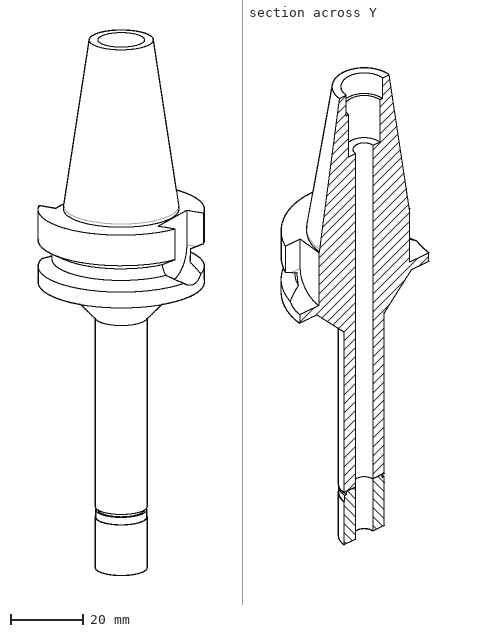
import cadquery as cq

TOTAL_LENGTH = 153.4
GAUGE_Z = 105.1
FLANGE_TOP = 104.2
FLANGE_BOTTOM = 83.0
UPPER_RIM_HEIGHT = 8.9
LOWER_RIM_HEIGHT = 4.6
GROOVE_BEVEL_HEIGHT = 2.1
NECK_BOTTOM = 72.7
SHANK_END = 17.8
NOSE_TOP = 16.9
SHOULDER_BOTTOM = 14.7

FLANGE_RADIUS = 23.0
GROOVE_RADIUS = 19.2
GAUGE_RADIUS = 16.0
TAPER_TOP_RADIUS = 8.9
NECK_RADIUS = 16.9
SHANK_RADIUS = 7.2
SHOULDER_RADIUS = 7.0
SPIGOT_RADIUS = 6.5

COUNTERBORE_RADIUS = 6.5
COUNTERBORE_DEPTH = 7.0
THREAD_RADIUS = 5.5
THREAD_DEPTH = 21.5
COOLANT_RADIUS = 3.0

SLOT_WIDTH = 16.1
SLOT_DEPTH = 18.1
SLOT_FLOOR_X = 16.3


def revolve_profile(points):
    """Revolve a closed (radius, height) outline around the Z axis."""
    return cq.Workplane("XZ").polyline(points).close().revolve(360, (0, 0), (0, 1))


def hole(radius, bottom, top):
    return cq.Workplane("XY").workplane(offset=bottom).circle(radius).extrude(top - bottom)


def holder_blank():
    """Taper, grooved flange, conical neck and long shank."""
    upper_rim_bottom = FLANGE_TOP - UPPER_RIM_HEIGHT
    lower_rim_top = FLANGE_BOTTOM + LOWER_RIM_HEIGHT
    return revolve_profile([
        (0, SHANK_END),
        (SHANK_RADIUS, SHANK_END),
        (SHANK_RADIUS, NECK_BOTTOM),
        (NECK_RADIUS, FLANGE_BOTTOM),
        (FLANGE_RADIUS, FLANGE_BOTTOM),
        (FLANGE_RADIUS, lower_rim_top),
        (GROOVE_RADIUS, lower_rim_top + GROOVE_BEVEL_HEIGHT),
        (GROOVE_RADIUS, upper_rim_bottom - GROOVE_BEVEL_HEIGHT),
        (FLANGE_RADIUS, upper_rim_bottom),
        (FLANGE_RADIUS, FLANGE_TOP),
        (GAUGE_RADIUS, FLANGE_TOP),
        (GAUGE_RADIUS, GAUGE_Z),
        (TAPER_TOP_RADIUS, TOTAL_LENGTH),
        (0, TOTAL_LENGTH),
    ])


def drive_slot(side):
    """Round-bottomed slot cutter reaching outward from the slot floor; side is +1 or -1."""
    radius = SLOT_WIDTH / 2
    arc_bottom = FLANGE_TOP - SLOT_DEPTH
    arc_center = arc_bottom + radius
    return (
        cq.Workplane("YZ")
        .workplane(offset=side * SLOT_FLOOR_X)
        .moveTo(-radius, FLANGE_TOP)
        .lineTo(-radius, arc_center)
        .threePointArc((0, arc_bottom), (radius, arc_center))
        .lineTo(radius, FLANGE_TOP)
        .close()
        .extrude(side * FLANGE_RADIUS)
    )


def make_holder():
    holder = holder_blank()
    for side in (-1, 1):
        holder = holder.cut(drive_slot(side))
    holder = holder.cut(hole(COUNTERBORE_RADIUS, TOTAL_LENGTH - COUNTERBORE_DEPTH, TOTAL_LENGTH))
    holder = holder.cut(hole(THREAD_RADIUS, TOTAL_LENGTH - THREAD_DEPTH, TOTAL_LENGTH))
    return holder.cut(hole(COOLANT_RADIUS, SHANK_END, TOTAL_LENGTH))


def make_nose():
    """Nose piece with a slimmer shoulder and a spigot that meets the shank end."""
    nose = revolve_profile([
        (0, 0),
        (SHANK_RADIUS, 0),
        (SHANK_RADIUS, SHOULDER_BOTTOM),
        (SHOULDER_RADIUS, SHOULDER_BOTTOM),
        (SHOULDER_RADIUS, NOSE_TOP),
        (SPIGOT_RADIUS, NOSE_TOP),
        (SPIGOT_RADIUS, SHANK_END),
        (0, SHANK_END),
    ])
    return nose.cut(hole(COOLANT_RADIUS, 0, SHANK_END))


holder = make_holder()
nose = make_nose()

result = cq.Compound.makeCompound([holder.val(), nose.val()])